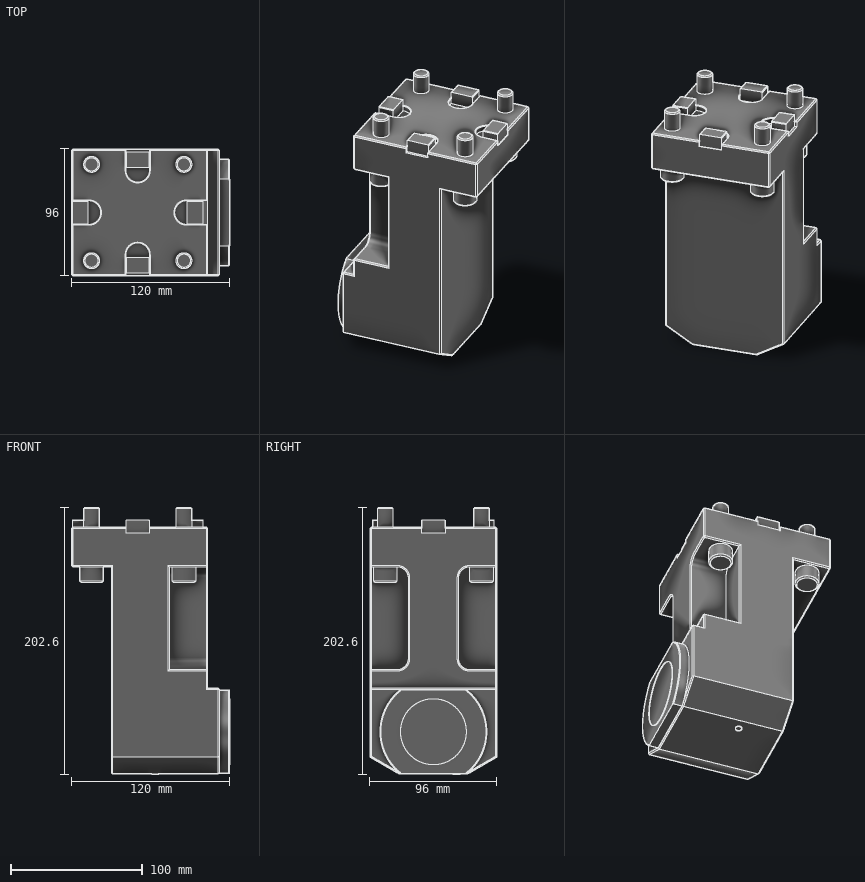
import cadquery as cq
import math


width = 96.0
height = 187.0
flange_left = -50.0
flange_right = 53.0
flange_thickness = 30.0
column_left = -20.0
head_right = 62.0
head_top = -122.0
edge_chamfer = 1.0
bevel_width = 22.0
bevel_angle = 30.0
bevel_height = bevel_width * math.tan(math.radians(bevel_angle))

notch_left = 24.0
notch_bottom = -108.0
notch_depth = 29.0
notch_radius = 8.5

nose_z = -155.0
nose_diameter = 81.0
nose_flats = 63.0
nose_length = 7.5
nose_chamfer = 0.6
ring_diameter = 50.0
ring_length = 0.5

slot_width = 18.0
slot_chamfer = 0.5
slot_depth = 4.5
slot_inner_x = 28.0
slot_inner_y = 23.0
key_length = 12.0
key_rise = 5.5
key_inner_x = 37.5
key_inner_y = 34.0

screw_x = 35.0
screw_y = 36.5
screw_diameter = 12.0
screw_rise = 15.0
screw_head_diameter = 18.0
screw_head_height = 12.0
screw_tip_chamfer = 1.0
screw_head_chamfer = 1.2

button_x = 13.2
button_y = 17.5
button_diameter = 5.0
button_rise = 0.55


def box(x_range, y_range, z_range):
    size = [high - low for low, high in (x_range, y_range, z_range)]
    corner = (x_range[0], y_range[0], z_range[0])
    return cq.Workplane("XY").box(*size, centered=False).translate(corner)


def make_body():
    outline = [
        (flange_left, 0),
        (flange_right, 0),
        (flange_right, head_top),
        (head_right, head_top),
        (head_right, -height),
        (column_left, -height),
        (column_left, -flange_thickness),
        (flange_left, -flange_thickness),
    ]
    body = cq.Workplane("XZ").polyline(outline).close().extrude(width / 2, both=True)
    for side in (-1, 1):
        bevel = [
            (side * width / 2, -height),
            (side * (width / 2 - bevel_width), -height),
            (side * width / 2, -height + bevel_height),
        ]
        cutter = cq.Workplane("YZ").polyline(bevel).close().extrude(head_right - column_left)
        body = body.cut(cutter.translate((column_left, 0, 0)))
        body = body.cut(make_notch(side))
    return chamfer_body(body)


def face_near(body, x, z):
    """The face square to X whose centre is closest to the given point at Y = 0."""
    return body.faces("|X").faces(cq.selectors.NearestToPointSelector((x, 0, z)))


def chamfer_body(body):
    """Chamfers the outer edges; the inside corners and the lengthwise bevel edges stay sharp."""
    side_edges = body.faces("<Y or >Y").edges("not <Z")
    end_edges = body.faces("<X or >X").edges()
    column_edges = face_near(body, column_left, -height / 2).edges("not >Z")
    front_edges = face_near(body, flange_right, head_top / 2).edges("not <Z")
    outer_edges = side_edges.add(end_edges).add(column_edges).add(front_edges)
    return outer_edges.chamfer(edge_chamfer)


def make_notch(side):
    wall = width / 2 - notch_depth
    notch = box((notch_left, head_right), (wall, width / 2), (notch_bottom, -flange_thickness))
    notch = notch.edges("|X and <Y").fillet(notch_radius)
    return notch if side > 0 else notch.mirror("XZ")


def make_nose():
    """Flattened disc carrying a thin end ring."""
    disc = cq.Workplane("YZ").circle(nose_diameter / 2).extrude(nose_length)
    disc = disc.faces(">X").chamfer(nose_chamfer)
    half = nose_diameter / 2
    disc = disc.intersect(box((0, nose_length), (-half, half), (-nose_flats / 2, nose_flats / 2)))
    ring = cq.Workplane("YZ").circle(ring_diameter / 2).extrude(nose_length + ring_length)
    return disc.union(ring).translate((head_right, 0, nose_z))


def slot_outline(end_center, radius):
    """Rounded at the inner end and reaching past the flange at the outer end."""
    outer = end_center + width
    return (
        cq.Workplane("XY")
        .moveTo(end_center, radius)
        .threePointArc((end_center - radius, 0), (end_center, -radius))
        .lineTo(outer, -radius)
        .lineTo(outer, radius)
        .close()
    )


def make_slot(inner, angle):
    """Cutter for a slot with a chamfered rim, running outwards and turned about Z."""
    radius = slot_width / 2
    slot = slot_outline(inner + radius, radius).extrude(-slot_depth)
    rim = slot_outline(inner + radius, radius + slot_chamfer).extrude(-slot_chamfer, taper=45)
    return slot.union(rim).rotate((0, 0, 0), (0, 0, 1), angle)


def make_key(inner, angle):
    key = box((inner, inner + key_length), (-slot_width / 2, slot_width / 2), (-slot_depth, key_rise))
    key = key.edges("|X and >Z").chamfer(slot_chamfer)
    return key.rotate((0, 0, 0), (0, 0, 1), angle)


def make_screw(x, y):
    shank_length = flange_thickness + screw_rise
    shank = cq.Workplane("XY").circle(screw_diameter / 2).extrude(shank_length)
    shank = shank.faces(">Z").chamfer(screw_tip_chamfer)
    head = cq.Workplane("XY").circle(screw_head_diameter / 2).extrude(-screw_head_height)
    head = head.faces("<Z").chamfer(screw_head_chamfer)
    return shank.union(head).translate((x, y, -flange_thickness))


def make_button():
    button = cq.Workplane("XY").circle(button_diameter / 2).extrude(-button_rise)
    return button.translate((button_x, button_y, -height))


result = make_body().union(make_nose()).union(make_button())
for angle in (0, 90, 180, 270):
    along_x = angle % 180 == 0
    slot_inner = slot_inner_x if along_x else slot_inner_y
    key_inner = key_inner_x if along_x else key_inner_y
    result = result.cut(make_slot(slot_inner, angle))
    result = result.union(make_key(key_inner, angle))
for x in (-screw_x, screw_x):
    for y in (-screw_y, screw_y):
        result = result.union(make_screw(x, y))